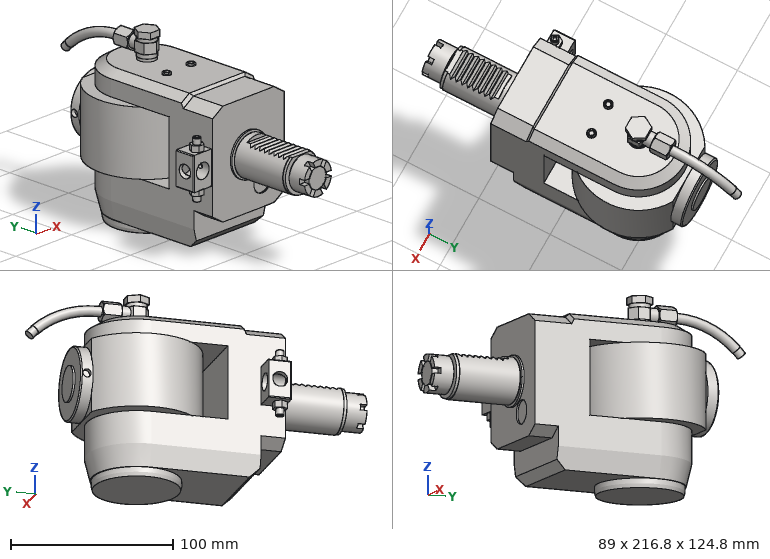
import cadquery as cq
import math


half_width = 32.0
housing_top = 40.3
housing_bottom = -59.0
top_bevel_width = 7.2
top_bevel_height = 4.5
taper_start = -45.0
bottom_half_width = 28.5
slab_front = -59.5
lower_front = -70.5
front_chamfer_run = 6.3
front_chamfer_rise = 5.9

block_rear = -61.3
block_front = -86.2
block_half_height = 38.4
block_bevel_width = 9.0
block_bevel_height = 5.9
plug_radius = 7.5
plug_x = 12.4
plug_z = -21.5
plug_depth = 1.0

disc_radius = 41.0
disc_half_height = 23.8
disc_flat = 35.3
slot_front = -49.0

collar_radius = 23.6
collar_rear = 43.1
collar_chamfer = 0.9
cap_radius = 11.5
cap_rear = 44.5
collar_hole_radius = 2.5
collar_hole_depth = 3.3
collar_hole_y = 39.2

flange_radius = 28.0
flange_bottom = -64.8
flange_bevel_height = 2.4
flange_bevel_width = 0.7

shoulder_radius = 16.3
shoulder_front = -87.5
shank_radius = 15.0
shank_chamfer = 0.9
shank_front = -129.4
shank_end_radius = 14.5
shank_end_front = -131.3
flat_height = 12.1
flat_start = -93.4
groove_count = 8
first_groove_y = -98.0
last_groove_y = -125.9
groove_half_width = 1.7
groove_depth = 1.7

neck_radius = 10.6
nut_radius = 12.1
nut_rear = -132.2
nut_front = -145.2
nut_slot_count = 6
nut_slot_width = 3.7
nut_slot_depth = 4.3
nut_hub_radius = 7.5
nut_hub_recess = 0.5

coolant_left = -48.0
coolant_rear = -70.5
coolant_front = -85.2
coolant_half_height = 12.4
coolant_chamfer = 0.7
cross_hole_x = -39.9
cross_hole_radius = 5.6
side_hole_y = -77.8
side_hole_radius = 4.8
side_bore_radius = 1.7
stud_y = -80.2
stud_nut_flats = 8.0
stud_nut_top = 16.7
stud_radius = 2.5
stud_top = 21.2
stud_chamfer = 0.5
stud_hole_radius = 1.3
stud_hole_depth = 2.2

screw_x = 10.8
screw_y = -27.0
screw_radius = 3.0
screw_top = 41.8
screw_chamfer = 0.7
screw_socket_flats = 3.3
screw_socket_depth = 1.3

post_base_radius = 6.5
post_base_top = 42.3
post_radius = 6.7
post_hex_flats = 13.7
post_hex_bottom = 45.3
post_hex_top = 52.9
head_flats = 14.0
head_bottom = 55.5
fitting_top = 60.0
hose_height = 49.2
arm_radius = 5.0
arm_rear = 10.8
hose_nut_flats = 12.1
hose_nut_rear = 23.0
hose_nut_chamfer = 0.9
hose_radius = 3.3
hose_bend_start = 25.0
hose_bend_radius = 59.2
hose_bend_angle = 48.5
hose_tip_radius = 3.0
hose_tip_angle = 5.0


def box(x_range, y_range, z_range):
    corners = list(zip(x_range, y_range, z_range))
    size = [high - low for low, high in zip(*corners)]
    return cq.Workplane("XY").box(*size, centered=False).translate(corners[0])


def cylinder_y(radius, y_start, y_end, x=0, z=0):
    plane = cq.Workplane("XZ", origin=(x, y_start, z))
    return plane.circle(radius).extrude(y_start - y_end)


def cylinder_z(radius, z_start, z_end, x=0, y=0):
    plane = cq.Workplane("XY", origin=(x, y, z_start))
    return plane.circle(radius).extrude(z_end - z_start)


def cylinder_x(radius, x_start, x_end, y=0, z=0):
    plane = cq.Workplane("YZ", origin=(x_start, y, z))
    return plane.circle(radius).extrude(x_end - x_start)


def hexagon(plane, origin, across_flats, length, turn=0):
    corner_diameter = across_flats / math.cos(math.pi / 6)
    workplane = cq.Workplane(plane, origin=origin).transformed(rotate=(0, 0, turn))
    return workplane.polygon(6, corner_diameter).extrude(length)


def mirrored_outline(right_side):
    left_side = [(-x, z) for x, z in reversed(right_side)]
    return right_side + left_side


def bevelled_side(top, bevel_width, bevel_height):
    return [(half_width, top - bevel_height), (half_width - bevel_width, top)]


slab_bevel = bevelled_side(housing_top, top_bevel_width, top_bevel_height)
block_bevel = bevelled_side(block_half_height, block_bevel_width, block_bevel_height)


def make_housing():
    lower_side = [(bottom_half_width, housing_bottom), (half_width, taper_start)]
    side = lower_side + slab_bevel
    rounded_rear = (
        cq.Workplane("XZ")
        .polyline([(0, housing_bottom)] + side + [(0, housing_top)])
        .close()
        .revolve(360, (0, 0), (0, 1))
    )
    straight = cq.Workplane("XZ").polyline(mirrored_outline(side)).close().extrude(-slab_front)

    lower_outline = mirrored_outline(lower_side + [(half_width, 0)])
    lower = cq.Workplane("XZ").polyline(lower_outline).close().extrude(-lower_front)
    corner_chamfer = (
        cq.Workplane("YZ")
        .moveTo(lower_front, housing_bottom)
        .lineTo(lower_front + front_chamfer_run, housing_bottom)
        .lineTo(lower_front, housing_bottom + front_chamfer_rise)
        .close()
        .extrude(half_width, both=True)
    )

    step = (
        cq.Workplane("XZ", origin=(0, slab_front, 0))
        .polyline(mirrored_outline([(half_width, 0)] + slab_bevel))
        .close()
        .workplane(offset=slab_front - block_rear)
        .polyline(mirrored_outline([(half_width, 0)] + block_bevel))
        .close()
        .loft(ruled=True)
    )
    slot = box(
        (-half_width, half_width), (slot_front, half_width), (-disc_half_height, disc_half_height)
    )
    housing = rounded_rear.union(straight).union(lower.cut(corner_chamfer)).union(step)
    return housing.union(make_mounting_block()).cut(slot)


def make_mounting_block():
    lower_bevel = [(x, -z) for x, z in reversed(block_bevel)]
    block = (
        cq.Workplane("XZ", origin=(0, block_rear, 0))
        .polyline(mirrored_outline(lower_bevel + block_bevel))
        .close()
        .extrude(block_rear - block_front)
    )
    return block.cut(cylinder_y(plug_radius, block_front + plug_depth, block_front, plug_x, plug_z))


def make_disc_and_collar():
    disc = cylinder_z(disc_radius, -disc_half_height, disc_half_height)
    beyond_flat = box(
        (-disc_radius, disc_radius), (disc_flat, disc_radius), (-disc_half_height, disc_half_height)
    )
    collar = cylinder_y(collar_radius, disc_flat, collar_rear).faces(">Y").chamfer(collar_chamfer)
    cap = cylinder_y(cap_radius, disc_flat, cap_rear)
    screw_hole = cylinder_x(
        collar_hole_radius, -collar_radius, collar_hole_depth - collar_radius, collar_hole_y
    )
    return disc.cut(beyond_flat).union(collar).union(cap).cut(screw_hole)


def make_flange():
    flange = cylinder_z(flange_radius, flange_bottom, housing_bottom)
    return flange.faces("<Z").chamfer(flange_bevel_height, flange_bevel_width)


def make_shank():
    shank = cylinder_y(shank_radius, shoulder_front, shank_front).faces(">Y").chamfer(shank_chamfer)
    shank = shank.union(cylinder_y(shank_end_radius, shank_front, shank_end_front))
    above_flat = box(
        (-shank_radius, shank_radius), (shank_end_front, flat_start), (flat_height, shank_radius)
    )
    shank = shank.cut(above_flat)
    groove_pitch = (first_groove_y - last_groove_y) / (groove_count - 1)
    for index in range(groove_count):
        groove_y = first_groove_y - index * groove_pitch
        groove = (
            cq.Workplane("YZ")
            .moveTo(groove_y - groove_half_width, flat_height)
            .lineTo(groove_y, flat_height - groove_depth)
            .lineTo(groove_y + groove_half_width, flat_height)
            .close()
            .extrude(shank_radius, both=True)
        )
        shank = shank.cut(groove)
    return shank.union(cylinder_y(shoulder_radius, block_front, shoulder_front))


def make_collet_nut():
    nut = cylinder_y(nut_radius, nut_rear, nut_front)
    nut = nut.cut(cylinder_y(nut_hub_radius, nut_rear, nut_front))
    slot = box(
        (0, nut_radius),
        (nut_front, nut_front + nut_slot_depth),
        (-nut_slot_width / 2, nut_slot_width / 2),
    )
    for index in range(nut_slot_count):
        nut = nut.cut(slot.rotate((0, 0, 0), (0, 1, 0), index * 360 / nut_slot_count))
    hub = cylinder_y(nut_hub_radius, nut_rear, nut_front + nut_hub_recess)
    neck = cylinder_y(neck_radius, shank_end_front, nut_rear)
    return nut.union(hub).union(neck)


def make_coolant_block():
    block = box(
        (coolant_left, -half_width),
        (coolant_front, coolant_rear),
        (-coolant_half_height, coolant_half_height),
    )
    block = block.faces("<X").edges("|Y or <Y").chamfer(coolant_chamfer)
    block = block.cut(cylinder_y(cross_hole_radius, coolant_rear, coolant_front, cross_hole_x))
    block = block.cut(cylinder_x(side_hole_radius, coolant_left, cross_hole_x, side_hole_y))
    block = block.cut(cylinder_x(side_bore_radius, cross_hole_x, -half_width, side_hole_y))

    nut_height = stud_nut_top - coolant_half_height
    nut = hexagon("XY", (cross_hole_x, stud_y, coolant_half_height), stud_nut_flats, nut_height)
    stud = cylinder_z(stud_radius, stud_nut_top, stud_top, cross_hole_x, stud_y)
    stud = stud.faces(">Z").chamfer(stud_chamfer)
    stud_hole = cylinder_z(stud_hole_radius, stud_top - stud_hole_depth, stud_top, cross_hole_x, stud_y)
    stud = stud.cut(stud_hole)
    upper_fitting = nut.union(stud)
    return block.union(upper_fitting).union(upper_fitting.mirror("XY"))


def make_cap_screws():
    screw = cylinder_z(screw_radius, housing_top, screw_top, screw_x, screw_y)
    screw = screw.faces(">Z").chamfer(screw_chamfer)
    socket_floor = (screw_x, screw_y, screw_top - screw_socket_depth)
    screw = screw.cut(hexagon("XY", socket_floor, screw_socket_flats, screw_socket_depth))
    return screw.union(screw.mirror("YZ"))


def make_hose_fitting():
    post_base = cylinder_z(post_base_radius, housing_top, post_base_top)
    post = cylinder_z(post_radius, post_base_top, fitting_top).union(post_base)
    post_hex = hexagon(
        "XY", (0, 0, post_hex_bottom), post_hex_flats, post_hex_top - post_hex_bottom, turn=30
    )
    head = hexagon("XY", (0, 0, head_bottom), head_flats, fitting_top - head_bottom)
    arm = cylinder_y(arm_radius, 0, arm_rear, z=hose_height)
    nut = hexagon(
        "XZ", (0, hose_nut_rear, hose_height), hose_nut_flats, hose_nut_rear - arm_rear, turn=30
    )
    nut_corner_radius = hose_nut_flats / 2 / math.cos(math.pi / 6)
    nut_envelope = cylinder_y(nut_corner_radius, arm_rear, hose_nut_rear, z=hose_height)
    nut = nut.intersect(nut_envelope.faces("<Y or >Y").chamfer(hose_nut_chamfer))
    return post.union(post_hex).union(head).union(arm).union(nut).union(make_hose())


def bent_hose(radius, angle):
    return (
        cq.Workplane("XZ", origin=(0, hose_bend_start, hose_height))
        .circle(radius)
        .revolve(angle, (2.2, -hose_bend_radius), (0, -hose_bend_radius))
    )


def make_hose():
    straight = cylinder_y(hose_radius, hose_nut_rear, hose_bend_start, z=hose_height)
    bend = bent_hose(hose_radius, hose_bend_angle - hose_tip_angle)
    core = bent_hose(hose_tip_radius, hose_bend_angle)
    return straight.union(bend).union(core)


result = (
    make_housing()
    .union(make_disc_and_collar())
    .union(make_flange())
    .union(make_shank())
    .union(make_collet_nut())
    .union(make_coolant_block())
    .union(make_cap_screws())
    .union(make_hose_fitting())
)